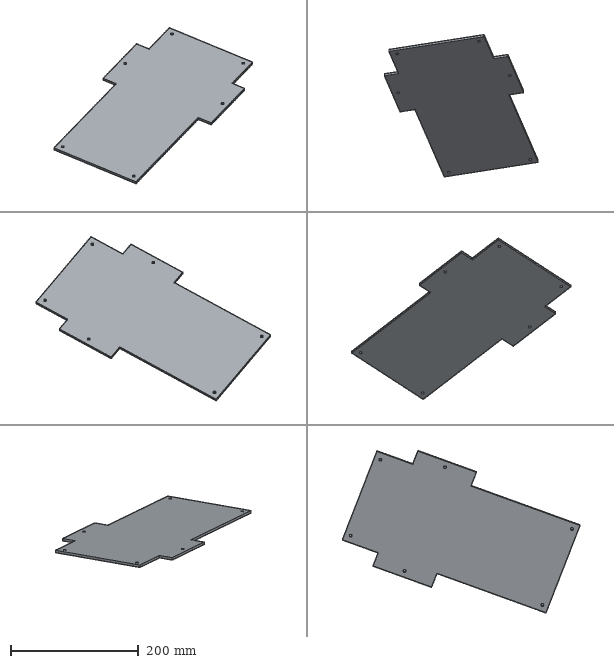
import cadquery as cq

length = 340.0
thickness = 4.0

rear_width = 154.0
wing_width = 200.0
front_width = 152.0

rear_length = 60.0
wing_length = 98.0
front_length = length - rear_length - wing_length

hole_diameter = 4.0
edge_distance = 10.0
corner_hole_spacing = 132.0

rear_edge = length / 2
front_edge = -length / 2
wing_center = rear_edge - rear_length - wing_length / 2


def stretch(width, stretch_length, center_y):
    """Flat rectangular stretch of the plate, standing on Z = 0."""
    return (
        cq.Workplane("XY")
        .center(0, center_y)
        .rect(width, stretch_length)
        .extrude(thickness)
    )


rear = stretch(rear_width, rear_length, rear_edge - rear_length / 2)
wings = stretch(wing_width, wing_length, wing_center)
front = stretch(front_width, front_length, front_edge + front_length / 2)
plate = rear.union(wings).union(front)

hole_pairs = [
    (corner_hole_spacing / 2, rear_edge - edge_distance),
    (wing_width / 2 - edge_distance, wing_center),
    (corner_hole_spacing / 2, front_edge + edge_distance),
]
hole_points = [(side * x, y) for x, y in hole_pairs for side in (-1, 1)]
holes = (
    cq.Workplane("XY")
    .pushPoints(hole_points)
    .circle(hole_diameter / 2)
    .extrude(thickness)
)

result = plate.cut(holes)